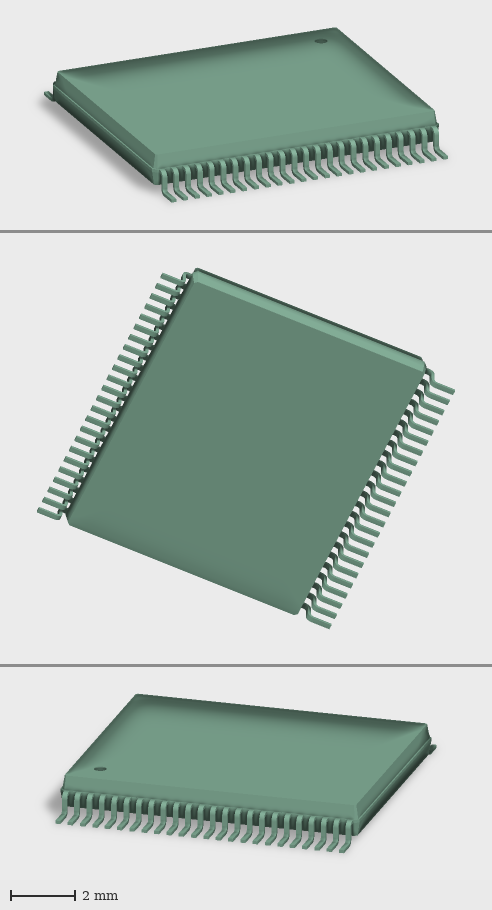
import cadquery as cq
import math

body_length_x = 8.0
body_length_y = 9.7
body_bottom = 0.2
body_top = 1.2
draft_angle = 9.0
upper_ledge = 0.05
corner_chamfer = 0.125

lead_span = 10.0
lead_thickness = 0.1
lead_width = 0.16
lead_pitch = 0.4
leads_per_side = 24
inner_bend_radius = 0.1
shank_outer_x = 4.3
lead_embed = 0.3

mark_diameter = 0.4
mark_inset = 1.02
mark_depth = 0.05

parting_height = (body_bottom + body_top) / 2
band_bottom = parting_height - lead_thickness / 2
band_top = parting_height + lead_thickness / 2
outer_bend_radius = inner_bend_radius + lead_thickness


def body_outline(height, inset=0.0):
    """Plan outline at the given height, with chamfered corners, set in from the body sides by inset."""
    side_x = body_length_x / 2 - inset
    side_y = body_length_y / 2 - inset
    chamfer = corner_chamfer - inset * (2 - math.sqrt(2))
    corner_x = side_x - chamfer
    corner_y = side_y - chamfer
    points = [
        (side_x, -corner_y),
        (side_x, corner_y),
        (corner_x, side_y),
        (-corner_x, side_y),
        (-side_x, corner_y),
        (-side_x, -corner_y),
        (-corner_x, -side_y),
        (corner_x, -side_y),
    ]
    return cq.Workplane("XY").workplane(offset=height).polyline(points).close()


def make_body():
    """Straight parting band with a drafted half above it, stepped in, and another below it."""
    band = body_outline(band_bottom).extrude(lead_thickness)
    upper_half = body_outline(band_top, upper_ledge).extrude(body_top - band_top, taper=draft_angle)
    lower_half = body_outline(band_bottom).extrude(body_bottom - band_bottom, taper=draft_angle)
    return band.union(upper_half).union(lower_half)


def cut_pin_one_mark(body):
    """Shallow round recess in the top face near the -X, +Y corner."""
    mark_x = -body_length_x / 2 + mark_inset
    mark_y = body_length_y / 2 - mark_inset
    mark = (
        cq.Workplane("XY")
        .workplane(offset=body_top - mark_depth)
        .center(mark_x, mark_y)
        .circle(mark_diameter / 2)
        .extrude(mark_depth)
    )
    return body.cut(mark)


def make_lead(side, y):
    """One lead: foot on Z = 0, upright shank, then a run into the parting band.

    side is +1 for the +X row and -1 for the -X row.
    """
    tip_x = lead_span / 2
    root_x = body_length_x / 2 - lead_embed
    shank_inner_x = shank_outer_x - lead_thickness
    lower_bend_x = shank_outer_x + inner_bend_radius
    lower_bend_z = outer_bend_radius
    upper_bend_x = shank_outer_x - outer_bend_radius
    upper_bend_z = band_top - outer_bend_radius
    diagonal = math.sqrt(0.5)
    inner_reach = inner_bend_radius * diagonal
    outer_reach = outer_bend_radius * diagonal

    def at(x, z):
        return side * x, z

    profile = (
        cq.Workplane("XZ", origin=(0, y, 0))
        .moveTo(*at(tip_x, 0))
        .lineTo(*at(tip_x, lead_thickness))
        .lineTo(*at(lower_bend_x, lead_thickness))
        .threePointArc(
            at(lower_bend_x - inner_reach, lower_bend_z - inner_reach),
            at(shank_outer_x, lower_bend_z),
        )
        .lineTo(*at(shank_outer_x, upper_bend_z))
        .threePointArc(
            at(upper_bend_x + outer_reach, upper_bend_z + outer_reach),
            at(upper_bend_x, band_top),
        )
        .lineTo(*at(root_x, band_top))
        .lineTo(*at(root_x, band_bottom))
        .lineTo(*at(upper_bend_x, band_bottom))
        .threePointArc(
            at(upper_bend_x + inner_reach, upper_bend_z + inner_reach),
            at(shank_inner_x, upper_bend_z),
        )
        .lineTo(*at(shank_inner_x, lower_bend_z))
        .threePointArc(
            at(lower_bend_x - outer_reach, lower_bend_z - outer_reach),
            at(lower_bend_x, 0),
        )
        .close()
    )
    return profile.extrude(lead_width / 2, both=True).val()


def make_leads():
    """Two rows of leads, centred along Y."""
    first_lead_y = -lead_pitch * (leads_per_side - 1) / 2
    leads = []
    for side in (-1, 1):
        for index in range(leads_per_side):
            leads.append(make_lead(side, first_lead_y + index * lead_pitch))
    return leads


body = cut_pin_one_mark(make_body())
result = cq.Workplane(body.val().fuse(*make_leads()).clean())